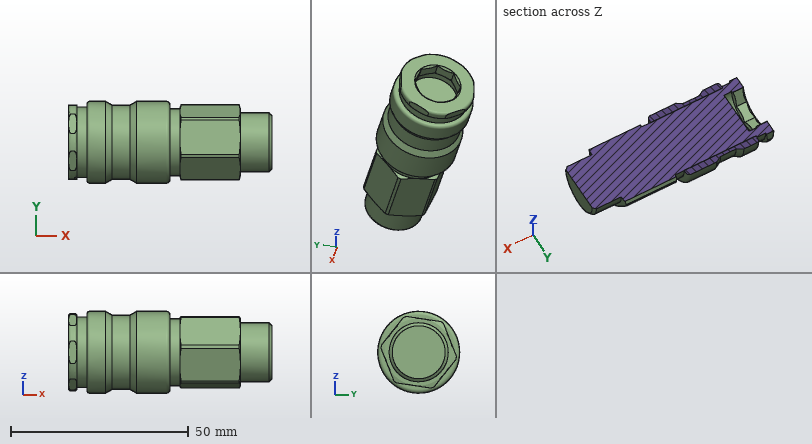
import cadquery as cq
import math


flange_end = 2.5
sleeve_start = 5.25
sleeve_end = 28.7
hex_start = 31.45
hex_end = 48.55
core_end = 57.5

flange_diameter = 21.9
flange_round = 0.8
flange_flats = 21.0
front_neck_diameter = 20.0
waist_diameter = 19.0
hex_flats = waist_diameter
hex_corner_diameter = 21.4
hex_chamfer_length = 0.35
hex_turn = 8.5
spigot_diameter = 16.7
spigot_chamfer = 0.85

mouth_diameter = 13.4
octagon_corners = 13.2
octagon_sides = 8
octagon_depth = 3.5
throat_rear_slope = 30.0
bore_diameter = 14.0
socket_depth = 6.1

sleeve_diameter = 23.2
groove_diameter = 21.0
groove_start = 10.45
groove_end = 19.25
groove_slope = 30.0
sleeve_front_round = 0.85
sleeve_rear_round = 1.1

HEX_SIDES = 6


def cylinder(diameter, start, end):
    """Round bar along X between two stations."""
    return cq.Workplane("YZ", origin=(start, 0, 0)).circle(diameter / 2).extrude(end - start)


def prism(sides, corner_diameter, start, end, turn=0.0):
    """Regular prism along X; at zero turn one corner points along +Y."""
    return (
        cq.Workplane("YZ", origin=(start, 0, 0))
        .transformed(rotate=(0, 0, turn))
        .polygon(sides, corner_diameter)
        .extrude(end - start)
    )


def corners_from_flats(sides, flats):
    return flats / math.cos(math.pi / sides)


def revolve_about_x(profile):
    return profile.close().revolve(360, (0, 0, 0), (1, 0, 0))


def make_flange():
    """Rounded disc with six flats, two of them facing +Y and -Y."""
    disc = cylinder(flange_diameter, 0, flange_end).edges().fillet(flange_round)
    flats = prism(
        HEX_SIDES, corners_from_flats(HEX_SIDES, flange_flats), 0, flange_end, turn=180 / HEX_SIDES
    )
    return disc.intersect(flats)


def make_wrench_hexagon():
    """Hexagon with turned-off corners and a shallow cone at each end."""
    flat_radius = hex_flats / 2
    corner_radius = hex_corner_diameter / 2
    envelope = revolve_about_x(
        cq.Workplane("XY")
        .moveTo(hex_start, 0)
        .lineTo(hex_start, flat_radius)
        .lineTo(hex_start + hex_chamfer_length, corner_radius)
        .lineTo(hex_end - hex_chamfer_length, corner_radius)
        .lineTo(hex_end, flat_radius)
        .lineTo(hex_end, 0)
    )
    hexagon = prism(
        HEX_SIDES, corners_from_flats(HEX_SIDES, hex_flats), hex_start, hex_end, turn=-hex_turn
    )
    return hexagon.intersect(envelope)


def make_socket():
    """Octagonal throat with a 45 degree mouth cone and a steep rear cone into a wider blind bore."""
    mouth_radius = mouth_diameter / 2
    corner_radius = octagon_corners / 2
    flat_radius = corner_radius * math.cos(math.pi / octagon_sides)
    bore_radius = bore_diameter / 2
    cone_rise = math.tan(math.radians(throat_rear_slope))
    cone_start = octagon_depth - (corner_radius - flat_radius) * cone_rise
    cone_end = octagon_depth + (bore_radius - corner_radius) * cone_rise
    turned_bore = revolve_about_x(
        cq.Workplane("XY")
        .lineTo(0, mouth_radius)
        .lineTo(mouth_radius - flat_radius, flat_radius)
        .lineTo(cone_start, flat_radius)
        .lineTo(cone_end, bore_radius)
        .lineTo(socket_depth, bore_radius)
        .lineTo(socket_depth, 0)
    )
    return turned_bore.union(prism(octagon_sides, octagon_corners, 0, octagon_depth))


def make_core():
    spigot = cylinder(spigot_diameter, hex_end, core_end).faces(">X").chamfer(spigot_chamfer)
    return (
        make_flange()
        .union(cylinder(front_neck_diameter, flange_end, sleeve_start))
        .union(cylinder(waist_diameter, sleeve_start, hex_start))
        .union(make_wrench_hexagon())
        .union(spigot)
        .cut(make_socket())
    )


def make_sleeve():
    """Tube around the waist with a shallow trapezoidal grip groove and rounded ends."""
    outer_radius = sleeve_diameter / 2
    groove_radius = groove_diameter / 2
    bore_radius = waist_diameter / 2
    flank_length = (outer_radius - groove_radius) / math.tan(math.radians(groove_slope))
    tube = revolve_about_x(
        cq.Workplane("XY")
        .moveTo(sleeve_start, bore_radius)
        .lineTo(sleeve_start, outer_radius)
        .lineTo(groove_start, outer_radius)
        .lineTo(groove_start + flank_length, groove_radius)
        .lineTo(groove_end - flank_length, groove_radius)
        .lineTo(groove_end, outer_radius)
        .lineTo(sleeve_end, outer_radius)
        .lineTo(sleeve_end, bore_radius)
    )
    tube = tube.faces("<X").edges(cq.selectors.RadiusNthSelector(-1)).fillet(sleeve_front_round)
    return tube.faces(">X").edges(cq.selectors.RadiusNthSelector(-1)).fillet(sleeve_rear_round)


core = make_core()
sleeve = make_sleeve()

result = cq.Compound.makeCompound([core.val(), sleeve.val()])